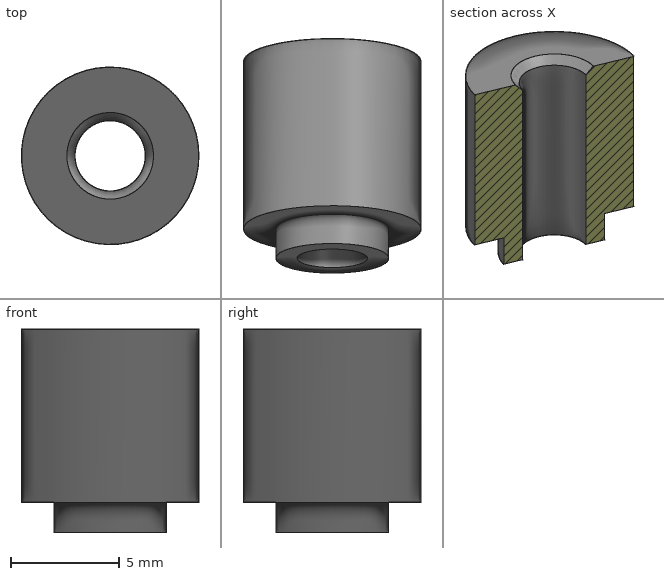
import cadquery as cq

body_diameter = 8.2
body_height = 8.0
spigot_diameter = 5.2
spigot_length = 1.4
bore_diameter = 3.24
bore_mouth_diameter = 4.0

countersink_depth = (bore_mouth_diameter - bore_diameter) / 2


def make_body():
    """Cylindrical body standing on Z = 0."""
    return cq.Workplane("XY").circle(body_diameter / 2).extrude(body_height)


def make_spigot():
    """Smaller locating spigot below the body."""
    return cq.Workplane("XY").circle(spigot_diameter / 2).extrude(-spigot_length)


def make_bore():
    """Through bore with a countersunk mouth at the top, as one revolved cutter."""
    bore_radius = bore_diameter / 2
    return (
        cq.Workplane("XZ")
        .moveTo(0, -spigot_length)
        .lineTo(bore_radius, -spigot_length)
        .lineTo(bore_radius, body_height - countersink_depth)
        .lineTo(bore_mouth_diameter / 2, body_height)
        .lineTo(0, body_height)
        .close()
        .revolve(360, (0, 0, 0), (0, 1, 0))
    )


result = make_body().union(make_spigot()).cut(make_bore())